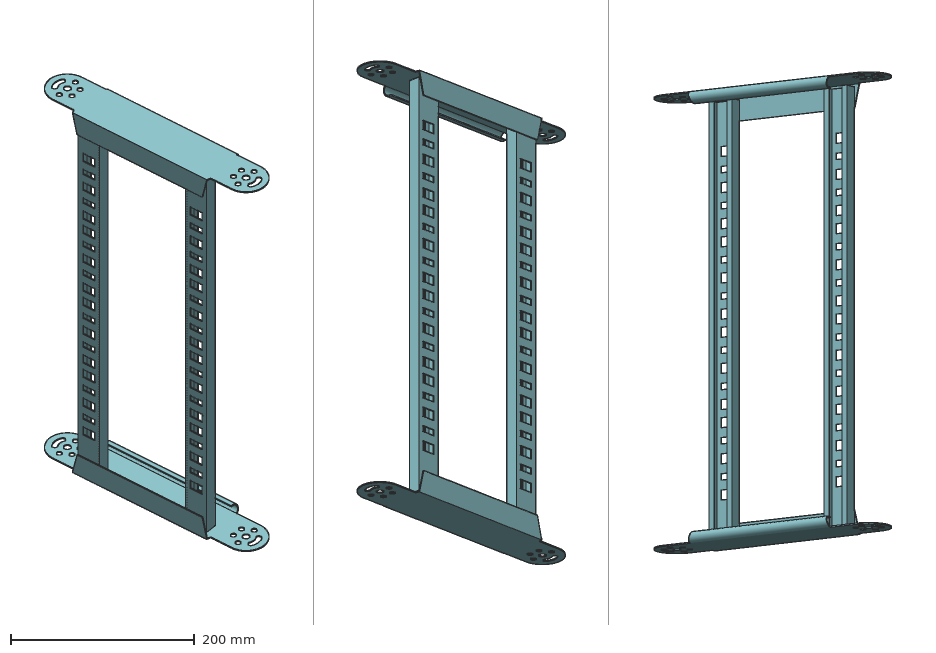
import cadquery as cq
import math

FRAME_HEIGHT = 500.0
HALF_HEIGHT = FRAME_HEIGHT / 2
SHEET = 1.5

PLATE_WIDTH = 50.0
PLATE_EDGE = PLATE_WIDTH / 2
END_RADIUS = PLATE_WIDTH / 2
END_CENTER_X = 125.0
PIVOT_DIAMETER = 8.5
HOLE_DIAMETER = 6.5
HOLE_CIRCLE_RADIUS = 14.0
HOLE_ANGLES = (30, 90, 270, 330)
SLOT_ANGLE = 30
SLOT_WIDTH = 6.5

FLANGE_FACE_Y = -30.0
FLANGE_HEIGHT = 27.5
FLANGE_ROOT_HALF = 95.5
FLANGE_BEND_HALF = 94.0
FLANGE_TIP_HALF = 87.5

LIP_BACK_Y = 30.0
LIP_DROP = 6.5
LIP_TIP_Y = 20.0
LIP_ROOT_HALF = 91.5
LIP_TIP_HALF = 88.0

RAIL_WIDTH = 30.0
RAIL_DEPTH = 15.0
RAIL_SHEET = 1.5
RAIL_LIP = 6.5
RAIL_SPREAD = 180.0
RAIL_CENTER_X = (RAIL_SPREAD - RAIL_WIDTH) / 2
RAIL_FRONT_Y = -25.0
RAIL_END_GAP = 5.0
RAIL_LENGTH = FRAME_HEIGHT - 2 * RAIL_END_GAP

WINDOW_WIDTH = 16.5
TALL, SHORT = 11.0, 7.0
WINDOW_HEIGHTS = (TALL, SHORT, TALL, SHORT, TALL) * 4
WINDOW_PITCH = 20.0


def top_plane():
    """Workplane on the top face of the frame."""
    return cq.Workplane("XY").workplane(offset=HALF_HEIGHT)


def prism_down(outline):
    """Extrude an XY outline at the top of the frame down by the sheet thickness."""
    return outline.extrude(-SHEET)


def ring_point(angle, radius=HOLE_CIRCLE_RADIUS):
    """Point around the end centre at +X; angle 0 points to the middle of the plate."""
    a = math.radians(angle)
    return (END_CENTER_X - radius * math.cos(a), radius * math.sin(a))


def end_hole_pattern():
    """Cutter for the holes at the +X end of the plate."""
    cutter_plane = top_plane().workplane(offset=-SHEET)
    pivot = cutter_plane.center(END_CENTER_X, 0).circle(PIVOT_DIAMETER / 2).extrude(SHEET)
    holes = (
        cutter_plane.pushPoints([ring_point(a) for a in HOLE_ANGLES])
        .circle(HOLE_DIAMETER / 2)
        .extrude(SHEET)
    )
    outer = HOLE_CIRCLE_RADIUS + SLOT_WIDTH / 2
    inner = HOLE_CIRCLE_RADIUS - SLOT_WIDTH / 2
    first, last = 180 - SLOT_ANGLE, 180 + SLOT_ANGLE
    slot = (
        cutter_plane.moveTo(*ring_point(first, inner))
        .threePointArc(ring_point(180, inner), ring_point(last, inner))
        .lineTo(*ring_point(last, outer))
        .threePointArc(ring_point(180, outer), ring_point(first, outer))
        .close()
        .extrude(SHEET)
    )
    slot_ends = (
        cutter_plane.pushPoints([ring_point(first), ring_point(last)])
        .circle(SLOT_WIDTH / 2)
        .extrude(SHEET)
    )
    return pivot.union(holes).union(slot).union(slot_ends)


def bracket_plate():
    length = 2 * (END_CENTER_X + END_RADIUS)
    plate = prism_down(top_plane().slot2D(length, PLATE_WIDTH))
    holes = end_hole_pattern()
    return plate.cut(holes).cut(holes.mirror("YZ"))


def front_flange():
    """Tapered flange: a short run out from the plate edge, then bent down."""
    run_out = prism_down(
        top_plane().polyline([
            (-FLANGE_ROOT_HALF, -PLATE_EDGE),
            (-FLANGE_BEND_HALF, FLANGE_FACE_Y),
            (FLANGE_BEND_HALF, FLANGE_FACE_Y),
            (FLANGE_ROOT_HALF, -PLATE_EDGE),
        ]).close()
    )
    face = (
        cq.Workplane("XZ", origin=(0, FLANGE_FACE_Y, 0))
        .polyline([
            (-FLANGE_BEND_HALF, HALF_HEIGHT),
            (-FLANGE_TIP_HALF, HALF_HEIGHT - FLANGE_HEIGHT),
            (FLANGE_TIP_HALF, HALF_HEIGHT - FLANGE_HEIGHT),
            (FLANGE_BEND_HALF, HALF_HEIGHT),
        ]).close()
        .extrude(-SHEET)
    )
    return run_out.union(face)


def back_lip():
    """Curl of constant radius from the plate edge, ending in a short straight run; its ends taper."""
    reach = LIP_BACK_Y - PLATE_EDGE
    radius = (reach ** 2 + LIP_DROP ** 2) / (2 * reach)
    center_y = LIP_BACK_Y - radius
    center_z = HALF_HEIGHT - LIP_DROP
    tip_z = center_z - radius
    inner = radius - SHEET
    inner_start_y = center_y + math.sqrt(inner ** 2 - (LIP_DROP - SHEET) ** 2)
    curl = (
        cq.Workplane("YZ", origin=(-LIP_ROOT_HALF, 0, 0))
        .moveTo(PLATE_EDGE, HALF_HEIGHT)
        .threePointArc((LIP_BACK_Y, center_z), (center_y, tip_z))
        .lineTo(LIP_TIP_Y, tip_z)
        .lineTo(LIP_TIP_Y, center_z - inner)
        .lineTo(center_y, center_z - inner)
        .threePointArc((center_y + inner, center_z), (inner_start_y, HALF_HEIGHT - SHEET))
        .close()
        .extrude(2 * LIP_ROOT_HALF)
    )
    end_taper = (
        cq.Workplane("XZ", origin=(0, LIP_TIP_Y, 0))
        .polyline([
            (-LIP_ROOT_HALF, HALF_HEIGHT),
            (-LIP_TIP_HALF, tip_z),
            (LIP_TIP_HALF, tip_z),
            (LIP_ROOT_HALF, HALF_HEIGHT),
        ]).close()
        .extrude(LIP_TIP_Y - LIP_BACK_Y)
    )
    return curl.intersect(end_taper)


def make_bracket():
    return bracket_plate().union(front_flange()).union(back_lip())


def make_rail(center_x):
    """Lipped channel with a column of windows in its front face."""
    bottom = -RAIL_LENGTH / 2
    center_y = RAIL_FRONT_Y + RAIL_DEPTH / 2
    base = cq.Workplane("XY", origin=(center_x, center_y, bottom))
    rail = base.rect(RAIL_WIDTH, RAIL_DEPTH).extrude(RAIL_LENGTH)
    cavity = base.rect(RAIL_WIDTH - 2 * RAIL_SHEET, RAIL_DEPTH - 2 * RAIL_SHEET).extrude(RAIL_LENGTH)
    mouth = (
        base.center(0, RAIL_DEPTH / 2)
        .rect(RAIL_WIDTH - 2 * RAIL_LIP, 2 * RAIL_SHEET)
        .extrude(RAIL_LENGTH)
    )
    rail = rail.cut(cavity).cut(mouth)
    first_z = -WINDOW_PITCH * (len(WINDOW_HEIGHTS) - 1) / 2
    for i, height in enumerate(WINDOW_HEIGHTS):
        window = cq.Workplane("XY").box(WINDOW_WIDTH, 2 * RAIL_SHEET, height)
        rail = rail.cut(window.translate((center_x, RAIL_FRONT_Y, first_z + i * WINDOW_PITCH)))
    return rail


top_bracket = make_bracket()
bottom_bracket = top_bracket.mirror("XY")
rails = [make_rail(side * RAIL_CENTER_X) for side in (-1, 1)]

result = cq.Compound.makeCompound([
    top_bracket.val(),
    bottom_bracket.val(),
    *[rail.val() for rail in rails],
])